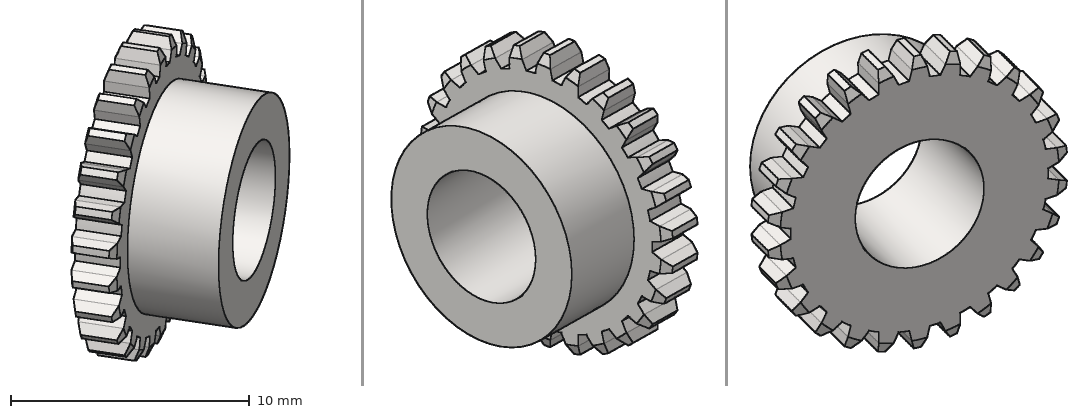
import cadquery as cq
import math

module = 0.5
tooth_count = 26
gear_width = 2.0
addendum = module
dedendum = module

pitch_radius = module * tooth_count / 2
tip_radius = pitch_radius + addendum
root_radius = pitch_radius - dedendum

tip_half_thickness = 0.17
pitch_half_thickness = 0.36
root_half_thickness = 0.48

chamfer_width = 0.2

hub_diameter = 10.0
hub_length = 4.0
bore_diameter = 6.0

total_length = gear_width + hub_length
tooth_pitch_angle = 2 * math.pi / tooth_count


def point_on_circle(radius, angle):
    """Point in the YZ plane, with the angle measured from +Z."""
    return (radius * math.sin(angle), radius * math.cos(angle))


def flank_angle(radius, half_thickness):
    """Angle from the tooth centreline to its flank at the given radius."""
    return math.asin(half_thickness / radius)


def make_toothed_disc():
    """Disc along +X with straight two-facet flanks and a tooth centred on +Z."""
    tip_angle = flank_angle(tip_radius, tip_half_thickness)
    pitch_angle = flank_angle(pitch_radius, pitch_half_thickness)
    root_angle = flank_angle(root_radius, root_half_thickness)

    outline = cq.Workplane("YZ").moveTo(*point_on_circle(root_radius, -root_angle))
    for tooth in range(tooth_count):
        centre = tooth * tooth_pitch_angle
        next_centre = centre + tooth_pitch_angle
        outline = (
            outline
            .lineTo(*point_on_circle(pitch_radius, centre - pitch_angle))
            .lineTo(*point_on_circle(tip_radius, centre - tip_angle))
            .threePointArc(
                point_on_circle(tip_radius, centre),
                point_on_circle(tip_radius, centre + tip_angle),
            )
            .lineTo(*point_on_circle(pitch_radius, centre + pitch_angle))
            .lineTo(*point_on_circle(root_radius, centre + root_angle))
            .threePointArc(
                point_on_circle(root_radius, centre + tooth_pitch_angle / 2),
                point_on_circle(root_radius, next_centre - root_angle),
            )
        )
    return outline.close().extrude(gear_width)


def make_chamfered_blank():
    """Solid of revolution about X that bounds the teeth and bevels both ends."""
    return (
        cq.Workplane("XY")
        .moveTo(0, 0)
        .lineTo(0, pitch_radius)
        .lineTo(chamfer_width, tip_radius)
        .lineTo(gear_width - chamfer_width, tip_radius)
        .lineTo(gear_width, pitch_radius)
        .lineTo(gear_width, 0)
        .close()
        .revolve(360, (0, 0, 0), (1, 0, 0))
    )


def make_hub():
    """Plain cylinder on the +X face of the gear."""
    return (
        cq.Workplane("YZ", origin=(gear_width, 0, 0))
        .circle(hub_diameter / 2)
        .extrude(hub_length)
    )


def make_bore():
    """Cylinder that removes the through bore."""
    return cq.Workplane("YZ").circle(bore_diameter / 2).extrude(total_length)


gear = make_toothed_disc().intersect(make_chamfered_blank())
result = gear.union(make_hub()).cut(make_bore())